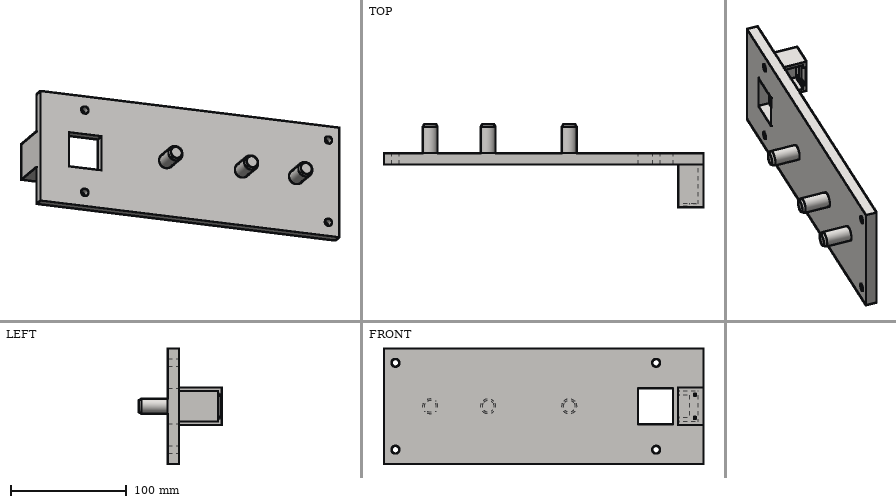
import cadquery as cq

PLATE_LENGTH = 276.0
PLATE_THICKNESS = 10.0
PLATE_HEIGHT = 100.0

MOUNT_HOLE_DIAMETER = 6.5
MOUNT_HOLE_X = (10.0, 235.0)
MOUNT_HOLE_PITCH_Z = 75.0

WINDOW_LEFT = 219.5
WINDOW_WIDTH = 30.0
WINDOW_HEIGHT = 31.0

PIN_DIAMETER = 13.0
PIN_LENGTH = 25.0
PIN_X = (40.0, 90.0, 160.0)
PIN_TIP_LENGTH = 2.5
PIN_TIP_INSET = 1.45

BRACKET_WIDTH = 22.0
BRACKET_DEPTH = 36.85
BRACKET_HEIGHT = 32.5
BRACKET_WALL = 3.25
BRACKET_END_WALL = 5.0

RECESS_HEIGHT = 19.5
RECESS_WIDTH = 10.0
RECESS_DEPTH = 2.25

SCREW_HOLE_DIAMETER = 2.0
SCREW_HOLE_PITCH_Z = 20.0
SCREW_HOLE_FROM_END = 7.5

BRACKET_LEFT = PLATE_LENGTH - BRACKET_WIDTH
CAVITY_WIDTH = BRACKET_WIDTH - BRACKET_END_WALL
CAVITY_DEPTH = BRACKET_DEPTH - BRACKET_WALL
CAVITY_HEIGHT = BRACKET_HEIGHT - 2 * BRACKET_WALL


def block(left, front, width, depth, height):
    """Box centred on Z = 0 with its left and front faces at the given X and Y."""
    box = cq.Workplane("XY").box(width, depth, height, centered=(False, False, True))
    return box.translate((left, front, 0))


def rod(x, front, z, diameter, length):
    """Cylinder along +Y starting at the given Y."""
    return cq.Workplane("XZ", origin=(x, front, z)).circle(diameter / 2).extrude(-length)


def make_plate():
    plate = block(0, 0, PLATE_LENGTH, PLATE_THICKNESS, PLATE_HEIGHT)
    plate = plate.cut(block(WINDOW_LEFT, 0, WINDOW_WIDTH, PLATE_THICKNESS, WINDOW_HEIGHT))
    for x in MOUNT_HOLE_X:
        for side in (-1, 1):
            z = side * MOUNT_HOLE_PITCH_Z / 2
            plate = plate.cut(rod(x, 0, z, MOUNT_HOLE_DIAMETER, PLATE_THICKNESS))
    return plate


def make_pin(x):
    """Pin with a tapered tip, revolved about an axis along Y."""
    radius = PIN_DIAMETER / 2
    outline = [
        (0, 0),
        (radius, 0),
        (radius, PIN_LENGTH - PIN_TIP_LENGTH),
        (radius - PIN_TIP_INSET, PIN_LENGTH),
        (0, PIN_LENGTH),
    ]
    pin = cq.Workplane("XY").polyline(outline).close().revolve(360, (0, 0), (0, 1))
    return pin.translate((x, PLATE_THICKNESS, 0))


def make_bracket():
    bracket = block(BRACKET_LEFT, -BRACKET_DEPTH, BRACKET_WIDTH, BRACKET_DEPTH, BRACKET_HEIGHT)
    cavity = block(BRACKET_LEFT, -CAVITY_DEPTH, CAVITY_WIDTH, CAVITY_DEPTH, CAVITY_HEIGHT)
    recess_front = -CAVITY_DEPTH - RECESS_DEPTH
    recess = block(BRACKET_LEFT, recess_front, RECESS_WIDTH, RECESS_DEPTH, RECESS_HEIGHT)
    bracket = bracket.cut(cavity).cut(recess)
    x = PLATE_LENGTH - SCREW_HOLE_FROM_END
    for side in (-1, 1):
        z = side * SCREW_HOLE_PITCH_Z / 2
        bracket = bracket.cut(rod(x, -BRACKET_DEPTH, z, SCREW_HOLE_DIAMETER, BRACKET_WALL))
    return bracket


result = make_plate().union(make_bracket())
for pin_x in PIN_X:
    result = result.union(make_pin(pin_x))